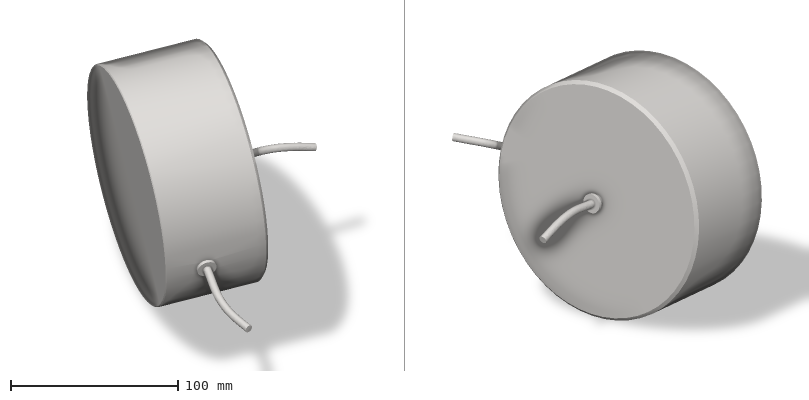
import cadquery as cq

pot_diameter = 150.0
pot_length = 65.0
pot_radius = pot_diameter / 2
rear_chamfer = 2.0
front_chamfer = 0.6

groove_outer_diameter = 140.0
core_diameter = 55.0
groove_depth = 50.0

flange_diameter = 12.0
flange_thickness = 2.0
neck_diameter = 9.0
neck_length = (pot_diameter - groove_outer_diameter) / 2
side_bushing_y = 25.2
rear_standoff = 3.3

cable_diameter = 5.0

side_cable_points = [(0, 0, 0), (21.7, -0.5, 0), (37.2, 2.3, 0.5), (53.7, 8.5, 1.9)]
side_cable_end = cq.Vector(1, 0.38, 0.1)
rear_cable_points = [(0, 0, 0), (0, 15.5, 0.6), (0, 31.8, -2.3), (0, 48.4, -8.5)]
rear_cable_end = cq.Vector(0, 1, -0.38)

side_axis = cq.Vector(1, 0, 0)
rear_axis = cq.Vector(0, 1, 0)
side_seat = cq.Vector(pot_radius, side_bushing_y, 0)
rear_seat = cq.Vector(0, pot_length + rear_standoff, 0)


def cylinder(diameter, length, start, axis):
    """Solid cylinder running from the start point along the axis."""
    return cq.Workplane(cq.Solid.makeCylinder(diameter / 2, length, start, axis))


def neck(seat, axis):
    """Bushing neck, running inwards from the seat of the flange."""
    return cylinder(neck_diameter, neck_length, seat, axis * -1)


def make_coil_resin():
    """Resin ring that fills the coil groove around the core."""
    outer = cylinder(groove_outer_diameter, groove_depth, cq.Vector(), rear_axis)
    core = cylinder(core_diameter, groove_depth, cq.Vector(), rear_axis)
    return outer.cut(core)


def make_pot():
    """Chamfered pot with its coil groove and the two bushing holes."""
    pot = cylinder(pot_diameter, pot_length, cq.Vector(), rear_axis)
    pot = pot.faces(">Y").chamfer(rear_chamfer)
    pot = pot.faces("<Y").chamfer(front_chamfer)
    pot = pot.cut(make_coil_resin())
    for seat, axis in [(side_seat, side_axis), (rear_seat, rear_axis)]:
        pot = pot.cut(neck(seat, axis))
    return pot


def make_bushing(seat, axis):
    """Flange outside the pot with its neck seated in the pot."""
    flange = cylinder(flange_diameter, flange_thickness, seat, axis)
    return flange.union(neck(seat, axis))


def make_cable(start, axis, points, end_direction):
    """Round cable swept along a curve that leaves the flange squarely."""
    section = cq.Workplane(cq.Plane(start, normal=axis)).circle(cable_diameter / 2)
    curve = cq.Edge.makeSpline([start + cq.Vector(*p) for p in points], tangents=[axis, end_direction])
    return section.sweep(cq.Workplane(curve))


pot = make_pot()
coil_resin = make_coil_resin()
bodies = [pot.solids().val(), coil_resin.solids().val()]

for seat, axis, points, end_direction in [
    (side_seat, side_axis, side_cable_points, side_cable_end),
    (rear_seat, rear_axis, rear_cable_points, rear_cable_end),
]:
    bushing = make_bushing(seat, axis)
    cable = make_cable(seat + axis * flange_thickness, axis, points, end_direction)
    bodies += [bushing.solids().val(), cable.solids().val()]

result = cq.Compound.makeCompound(bodies)